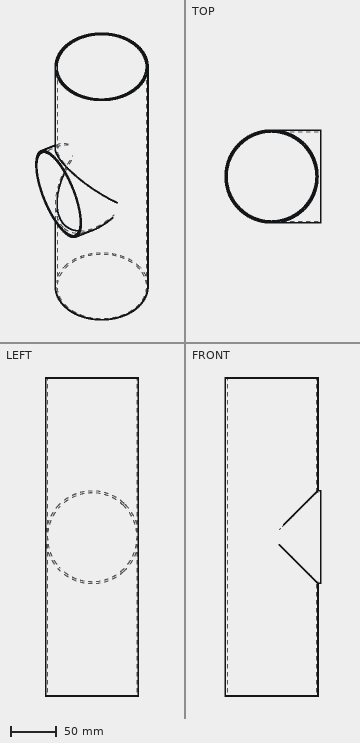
import cadquery as cq

run_length = 348.0
outer_diameter = 101.5
inner_diameter = 97.5
overall_width = 104.7

branch_reach = overall_width - outer_diameter / 2


def tee_cylinders(diameter):
    """Run along Z joined to a branch along +X, both of the same diameter."""
    run = cq.Workplane("XY").circle(diameter / 2).extrude(run_length / 2, both=True)
    branch = cq.Workplane("YZ").circle(diameter / 2).extrude(branch_reach)
    return run.union(branch)


result = tee_cylinders(outer_diameter).cut(tee_cylinders(inner_diameter))